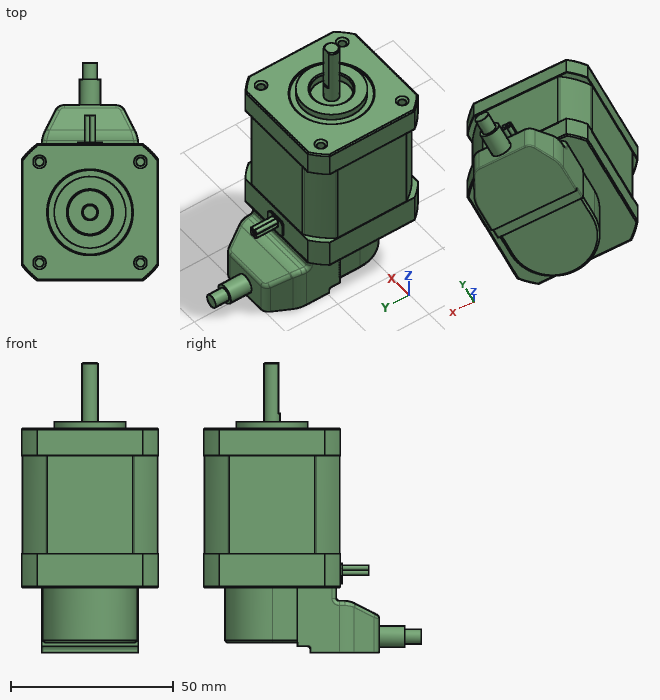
import cadquery as cq
import math


tolerance = 0.01

encoder_bottom = 3.1
rear_flange_bottom = 19.9
rear_flange_top = 30.35
front_flange_bottom = 60.4
front_flange_top = 69.0
pilot_top = 70.9
shaft_flat_bottom = 73.5
shaft_top = 89.0

body_width = 42.0
body_half = body_width / 2
flange_corner_radius = 26.5
flange_edge_chamfer = 0.45
front_flange_rear_chamfer = 0.2
stack_corner_radius = 24.65
stack_inset = 0.2
stack_panel_half_width = 13.1
stack_bevel_width = 0.5

bolt_spacing = 31.0
bolt_diameter = 2.6
bolt_depth = 4.45
bolt_chamfer = 0.7
bolt_chamfer_angle = 90.0
pilot_diameter = 22.0
relief_diameter = 25.8
relief_depth = 0.4
bore_diameter = 13.4
bore_depth = 3.0
bore_chamfer = 0.45
shaft_diameter = 5.0
shaft_flat_offset = 2.05
shaft_tip_chamfer = 0.4

drum_radius = 14.5
drum_bottom_chamfer = 0.7
cover_half_width = 14.9
cover_back = 7.7
cover_step = 11.7
cover_step_bottom = 2.0
cover_step_round = 0.7
cover_wall = 19.8
cover_shoulder = 16.0
cover_front = 32.9
cover_taper = 27.0
cover_side_bend = 23.0
cover_top_bend = 23.8
cover_side_bend_radius = 9.8
cover_top_bend_radius = 7.1
cover_front_corner_radius = 3.0
cover_inner_round = 0.8
cover_edge_round = 1.4
cover_bottom_round = 0.4

cable_height = 5.0
gland_diameter = 6.6
gland_embed = 0.9
gland_end = 40.8
cable_diameter = 4.5
cable_end = 45.8

grommet_width = 7.6
grommet_bottom = 21.2
grommet_top = 27.5
grommet_face = 21.5
grommet_corner_radius = 1.5
lead_diameter = 1.6
lead_spacing = 1.5
lead_height = 25.4
lead_end = 29.7


def cylinder_z(diameter, bottom, top):
    return cq.Workplane("XY").workplane(offset=bottom).circle(diameter / 2).extrude(top - bottom)


def cylinder_y(diameter, x, z, start, end):
    plane = cq.Plane(origin=(x, start, z), xDir=(1, 0, 0), normal=(0, 1, 0))
    return cq.Workplane(plane).circle(diameter / 2).extrude(end - start)


def flange(bottom, top, chamfered_face):
    """Square plate whose corners are turned to a large circle."""
    height = top - bottom
    plate = cq.Workplane("XY").workplane(offset=bottom).rect(body_width, body_width).extrude(height)
    plate = plate.intersect(cylinder_z(2 * flange_corner_radius, bottom, top))
    return plate.faces(chamfered_face).chamfer(flange_edge_chamfer)


def quarter_turned(x, y, quarter):
    """Point turned about Z by a number of quarter turns."""
    for _ in range(quarter):
        x, y = -y, x
    return (x, y)


def stack():
    """Lamination stack: four flat panels, bevelled down to round corners."""
    face = body_half - stack_inset
    panel = stack_panel_half_width
    bevel_end = panel + stack_bevel_width
    bevel_face = math.sqrt(stack_corner_radius**2 - bevel_end**2)
    corner = stack_corner_radius / math.sqrt(2)

    outline = cq.Workplane("XY").workplane(offset=rear_flange_top).moveTo(face, -panel)
    for quarter in range(4):
        outline = outline.lineTo(*quarter_turned(face, panel, quarter))
        outline = outline.lineTo(*quarter_turned(bevel_face, bevel_end, quarter))
        outline = outline.threePointArc(
            quarter_turned(corner, corner, quarter), quarter_turned(bevel_end, bevel_face, quarter)
        )
        if quarter < 3:
            outline = outline.lineTo(*quarter_turned(panel, face, quarter))
    return outline.close().extrude(front_flange_bottom - rear_flange_top)


def front_flange():
    plate = flange(front_flange_bottom, front_flange_top, ">Z")
    plate = plate.faces("<Z").chamfer(front_flange_rear_chamfer)
    relief_bottom = front_flange_top - relief_depth
    relief = (
        cq.Workplane("XY").workplane(offset=relief_bottom).circle(relief_diameter / 2)
        .workplane(offset=relief_depth).circle(relief_diameter / 2 + relief_depth).loft(ruled=True)
    )
    plate = plate.cut(relief)
    plate = plate.union(cylinder_z(pilot_diameter, relief_bottom, pilot_top))
    plate = plate.cut(cylinder_z(bore_diameter, pilot_top - bore_depth, pilot_top))
    bore_rim = cq.selectors.RadiusNthSelector(0)
    plate = plate.faces(">Z").edges(bore_rim).chamfer(bore_chamfer)
    return (
        plate.copyWorkplane(cq.Workplane("XY", origin=(0, 0, front_flange_top)))
        .rect(bolt_spacing, bolt_spacing, forConstruction=True).vertices()
        .cskHole(bolt_diameter, bolt_diameter + 2 * bolt_chamfer, bolt_chamfer_angle, bolt_depth)
    )


def shaft():
    rod = cylinder_z(shaft_diameter, pilot_top - bore_depth, shaft_top)
    rod = rod.faces(">Z").chamfer(shaft_tip_chamfer)
    flat_length = shaft_top - shaft_flat_bottom
    flat = cq.Workplane("XY").box(shaft_diameter, shaft_diameter, flat_length, centered=(True, False, False))
    return rod.cut(flat.translate((0, shaft_flat_offset, shaft_flat_bottom)))


def encoder_drum():
    """Half-round drum continued by straight sides into the cover."""
    height = rear_flange_bottom - encoder_bottom
    return (
        cq.Workplane("XY").workplane(offset=encoder_bottom)
        .moveTo(-drum_radius, 0).threePointArc((0, -drum_radius), (drum_radius, 0))
        .lineTo(drum_radius, cover_step).lineTo(-drum_radius, cover_step).close().extrude(height)
        .faces("<Z").edges("<Y or <X or >X").chamfer(drum_bottom_chamfer)
    )


def near(a, b):
    return abs(a - b) < tolerance


def round_upright_edges(solid, y, radius):
    """Fillet the vertical edges that stand at the given Y."""
    edges = [e for e in solid.edges("|Z").vals() if near(e.Center().y, y)]
    return solid.newObject(edges).fillet(radius)


def round_crosswise_edge(solid, y, z, radius):
    """Fillet the edge that runs along X at the given Y and Z."""
    edges = [e for e in solid.edges("|X").vals() if near(e.Center().y, y) and near(e.Center().z, z)]
    return solid.newObject(edges).fillet(radius)


def is_crosswise(edge):
    box = edge.BoundingBox()
    return near(box.ylen, 0) and near(box.zlen, 0)


def cover_plan(slope):
    """Cover outline seen along the shaft, tapering toward the cable."""
    front_half_width = cover_half_width - slope * (cover_front - cover_side_bend)
    plan = (
        cq.Workplane("XY").moveTo(-cover_half_width, cover_back).lineTo(cover_half_width, cover_back)
        .lineTo(cover_half_width, cover_side_bend).lineTo(front_half_width, cover_front)
        .lineTo(-front_half_width, cover_front).lineTo(-cover_half_width, cover_side_bend)
        .close().extrude(rear_flange_bottom)
    )
    plan = round_upright_edges(plan, cover_front, cover_front_corner_radius)
    return round_upright_edges(plan, cover_side_bend, cover_side_bend_radius)


def cover_profile(front_height):
    """Cover outline seen from the side, with its stepped underside and sloping top."""
    profile = (
        cq.Workplane("YZ").moveTo(cover_back, cover_step_bottom).lineTo(cover_step, cover_step_bottom)
        .lineTo(cover_step, 0).lineTo(cover_front, 0).lineTo(cover_front, front_height)
        .lineTo(cover_top_bend, cover_shoulder).lineTo(cover_wall, cover_shoulder)
        .lineTo(cover_wall, rear_flange_bottom).lineTo(cover_back, rear_flange_bottom)
        .close().extrude(cover_half_width, both=True)
    )
    profile = round_crosswise_edge(profile, cover_top_bend, cover_shoulder, cover_top_bend_radius)
    profile = round_crosswise_edge(profile, cover_wall, cover_shoulder, cover_inner_round)
    return round_crosswise_edge(profile, cover_step, cover_step_bottom, cover_step_round)


def encoder_cover():
    """Plan and side outlines crossed, with the upper and lower rims rounded."""
    slope = math.tan(math.radians(cover_taper))
    front_height = cover_shoulder - slope * (cover_front - cover_top_bend)
    cover = cover_plan(slope).intersect(cover_profile(front_height))

    upper_rim = []
    for edge in cover.edges().vals():
        center = edge.Center()
        outside_wall = center.y > cover_wall - tolerance and center.z < rear_flange_bottom - tolerance
        above_front = edge.BoundingBox().zmin > front_height - tolerance
        on_rim = near(center.y, cover_front) or not is_crosswise(edge)
        if outside_wall and above_front and on_rim:
            upper_rim.append(edge)
    cover = cover.newObject(upper_rim).fillet(cover_edge_round)

    lower_rim = []
    for edge in cover.edges().vals():
        box = edge.BoundingBox()
        below_step = box.zmax < cover_step_bottom + tolerance
        if below_step and (near(box.zmin, 0) or not is_crosswise(edge)):
            lower_rim.append(edge)
    return cover.newObject(lower_rim).fillet(cover_bottom_round)


def encoder_cable():
    gland = cylinder_y(gland_diameter, 0, cable_height, cover_front - gland_embed, gland_end)
    return gland.union(cylinder_y(cable_diameter, 0, cable_height, gland_end, cable_end))


def motor_leads():
    grommet = cq.Workplane("XY").box(
        grommet_width, grommet_face, grommet_top - grommet_bottom, centered=(True, False, False)
    ).translate((0, 0, grommet_bottom))
    grommet = grommet.edges("|Y").fillet(grommet_corner_radius)
    offsets = (-lead_spacing / 2, lead_spacing / 2)
    for x in offsets:
        for z in offsets:
            grommet = grommet.union(cylinder_y(lead_diameter, x, lead_height + z, body_half, lead_end))
    return grommet


result = (
    front_flange()
    .union(shaft())
    .union(stack())
    .union(flange(rear_flange_bottom, rear_flange_top, "<Z"))
    .union(encoder_drum())
    .union(encoder_cover())
    .union(encoder_cable())
    .union(motor_leads())
)